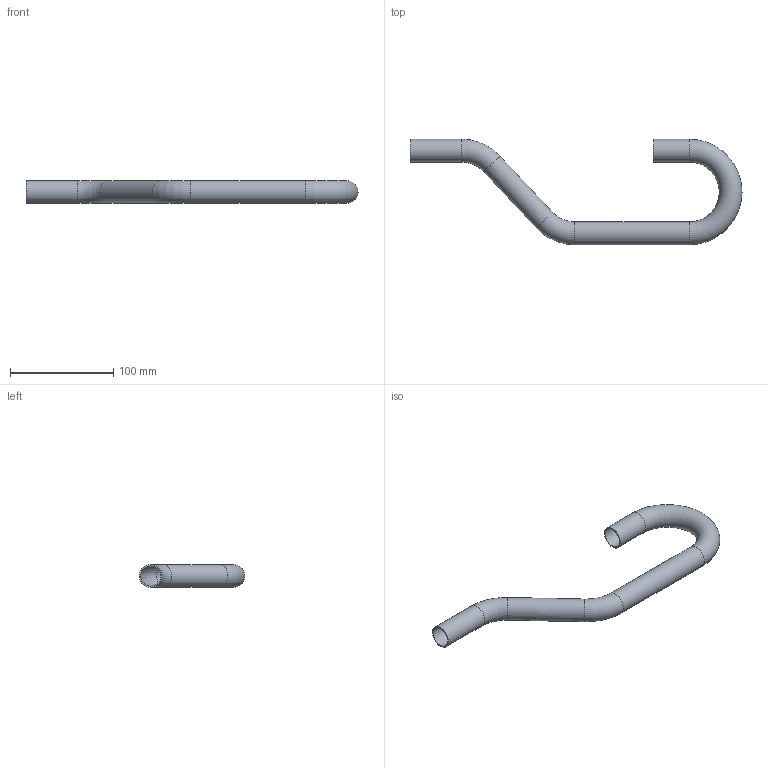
import cadquery as cq
import math

outer_diameter = 22.0
inner_diameter = 19.6

bend_radius = 40.0
row_spacing = 2 * bend_radius
inlet_length = 50.0
offset_angle = 47.0
long_leg_length = 110.7
return_length = 35.0

angle = math.radians(offset_angle)
bend_run = bend_radius * math.sin(angle)
bend_drop = bend_radius * (1 - math.cos(angle))
half_bend_run = bend_radius * math.sin(angle / 2)
half_bend_drop = bend_radius * (1 - math.cos(angle / 2))

slope_drop = row_spacing - 2 * bend_drop
slope_run = slope_drop / math.tan(angle)

first_bend_x = inlet_length
slope_start_x = first_bend_x + bend_run
slope_end_x = slope_start_x + slope_run
long_leg_x = slope_end_x + bend_run
u_bend_x = long_leg_x + long_leg_length


def tube_path():
    """Centreline from the inlet opening to the return opening."""
    return (
        cq.Workplane("XY")
        .lineTo(first_bend_x, 0)
        .threePointArc(
            (first_bend_x + half_bend_run, -half_bend_drop),
            (slope_start_x, -bend_drop),
        )
        .lineTo(slope_end_x, -row_spacing + bend_drop)
        .threePointArc(
            (long_leg_x - half_bend_run, -row_spacing + half_bend_drop),
            (long_leg_x, -row_spacing),
        )
        .lineTo(u_bend_x, -row_spacing)
        .threePointArc((u_bend_x + bend_radius, -bend_radius), (u_bend_x, 0))
        .lineTo(u_bend_x - return_length, 0)
    )


def bent_tube():
    """Ring section swept along the centreline, open at both ends."""
    ring = cq.Workplane("YZ").circle(outer_diameter / 2).circle(inner_diameter / 2)
    return ring.sweep(tube_path())


result = bent_tube()